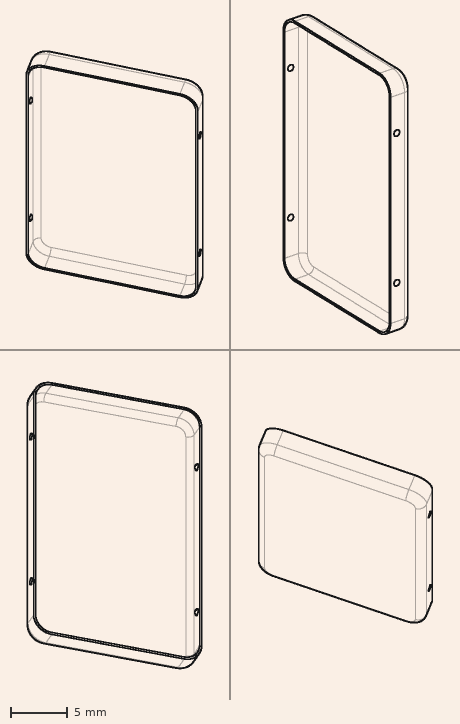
import cadquery as cq
import math

width = 15.88
depth = 2.3
height = 26.05
wall = 0.2
corner_radius = 1.7
back_edge_radius = 0.78

dimple_radius = 0.3
dimple_depth = 0.18
dimple_setback = 0.68
dimple_spacing = 15.0

rim_y = -depth / 2
back_y = depth / 2


def rounded_block(inset):
    """Block with rounded corners and back edge, offset inward by inset from the outer skin."""
    return (
        cq.Workplane("XZ", origin=(0, back_y - inset, 0))
        .rect(width - 2 * inset, height - 2 * inset)
        .extrude(depth - inset)
        .edges("|Y")
        .fillet(corner_radius - inset)
        .faces(">Y")
        .edges()
        .fillet(back_edge_radius - inset)
    )


def spherical_cap(side, face_x, z):
    """Spherical cap standing on the wall plane at face_x and bulging toward the tray centre."""
    ball_radius = (dimple_radius**2 + dimple_depth**2) / (2 * dimple_depth)
    half_angle = math.asin(dimple_radius / ball_radius) / 2
    arc_middle = (
        ball_radius * math.sin(half_angle),
        dimple_depth - ball_radius * (1 - math.cos(half_angle)),
    )
    cap = (
        cq.Workplane("XY")
        .moveTo(0, 0)
        .lineTo(dimple_radius, 0)
        .threePointArc(arc_middle, (0, dimple_depth))
        .close()
        .revolve(360, (0, 0), (0, 1))
    )
    return cap.rotate((0, 0, 0), (0, 0, 1), side * 90).translate((side * face_x, rim_y + dimple_setback, z))


result = rounded_block(0).cut(rounded_block(wall))

for side in (-1, 1):
    for z in (-dimple_spacing / 2, dimple_spacing / 2):
        result = result.union(spherical_cap(side, width / 2 - wall, z))
        result = result.cut(spherical_cap(side, width / 2, z))